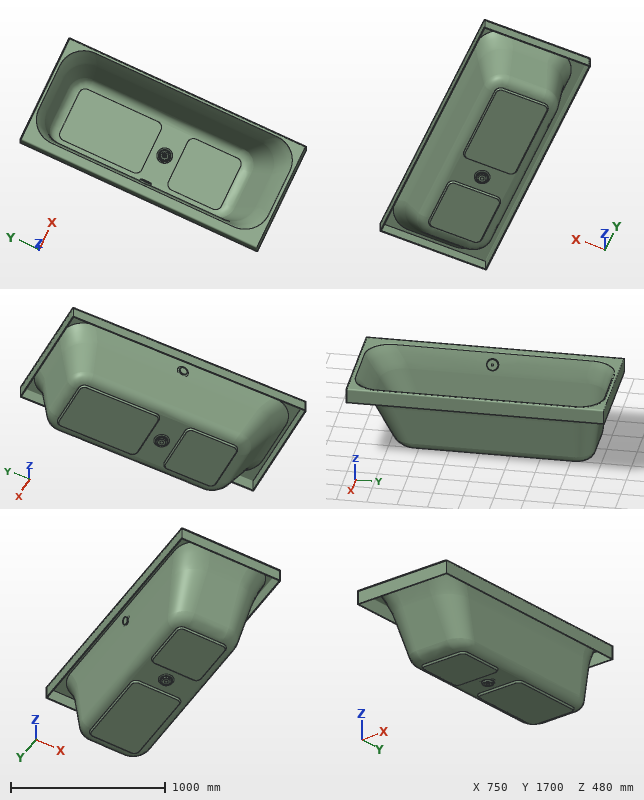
import cadquery as cq
import math

LENGTH = 1700.0
WIDTH = 750.0
HEIGHT = 480.0
SHELL = 7.0

RIM_HEIGHT = 99.0
SIDE_ROUND = 10.0
END_ROUND = 5.0
LIP_ROUND = 5.0

BASIN_X = 22.0
FLOOR_Z = -459.0
WALL_BASE_Z = -411.0
WALL_TOP_Z = -151.0
ROUND_WEIGHT = 0.75
ROUND_STEPS = 5

FLOOR = (FLOOR_Z, 190.0, 690.0, -483.0, 61.0)
WALL_BASE = (WALL_BASE_Z, 248.0, 746.0, -565.0, 119.0)
WALL_TOP = (WALL_TOP_Z, 284.0, 780.0, -710.0, 162.0)
OPENING = (0.0, 326.0, 821.0, -820.0, 163.0)

DISH_TOP_DIA = 102.0
DISH_FLOOR_DIA = 78.0
DISH_DEPTH = 7.0
BOSS_TOP_DIA = 83.0
BOSS_BOTTOM_DIA = 73.0
DRAIN_DIA = 71.0
DRAIN_NECK_DIA = 53.0
DRAIN_FLANGE = 5.0
DRAIN_CHAMFER = 2.0
PLUG_DIA = 32.0
PLUG_STEM_DIA = 24.0
PLUG_HEAD = 3.0
PLUG_KNOB = 2.0
DIMPLE_DIA = 9.2
DIMPLE_DEPTH = 2.0

OVERFLOW_X = -277.0
OVERFLOW_Z = -77.0
OVERFLOW_TILT = 16.0
OVERFLOW_DIA = 78.0
OVERFLOW_CAP = 15.0
OVERFLOW_CHAMFER = 3.0
OVERFLOW_PIPE_DIA = 53.0
OVERFLOW_PIPE = 14.0
OVERFLOW_DIMPLE_DIA = 14.5
OVERFLOW_DIMPLE = 2.0

BOARD_SPANS = [(-475.0, -95.0), (95.0, 680.0)]
BOARD_WIDTH = 374.0
BOARD_TAPER = 9.0
BOARD_CORNER = 43.0

UNDERSIDE_Z = FLOOR_Z - SHELL
DISH_FLOOR_Z = FLOOR_Z - DISH_DEPTH


def grow(section, offset):
    """Push a section outwards by an offset at the same height."""
    z, half_width, head, foot, corner = section
    return (z, half_width + offset, head + offset, foot - offset, corner + offset)


def lower(section, offset):
    """Drop a section by an offset, keeping its outline."""
    z, *outline = section
    return (z - offset, *outline)


def along_wall(base, top, z):
    """Section at height z on the straight walls, or on their extension."""
    share = (z - base[0]) / (top[0] - base[0])
    return tuple(b + share * (t - b) for b, t in zip(base, top))


def rounded_stretch(start, bend, end):
    """Sections along a conic arc from start to end that leaves and arrives towards bend."""
    sections = []
    for step in range(ROUND_STEPS + 1):
        t = step / ROUND_STEPS
        weights = ((1 - t) ** 2, 2 * ROUND_WEIGHT * t * (1 - t), t ** 2)
        total = sum(weights)
        sections.append(tuple(
            sum(w * value for w, value in zip(weights, values)) / total
            for values in zip(start, bend, end)
        ))
    return sections


def section_wire(section):
    z, half_width, head, foot, corner = section
    return (
        cq.Sketch().rect(2 * half_width, head - foot).vertices().fillet(corner)
        .reset().faces().val().outerWire()
        .moved(cq.Location(cq.Vector(BASIN_X, (head + foot) / 2, z)))
    )


def loft(sections, ruled=False):
    return cq.Workplane(cq.Solid.makeLoft([section_wire(s) for s in sections], ruled))


def basin(offset):
    """Solid in the shape of the basin, grown by an offset on the sides and the floor."""
    floor = lower(FLOOR, offset)
    base, top, opening = (grow(section, offset) for section in (WALL_BASE, WALL_TOP, OPENING))
    floor_bend = along_wall(base, top, floor[0])
    opening_bend = along_wall(base, top, WALL_TOP_Z / 2)
    bottom_round = loft(rounded_stretch(floor, floor_bend, base))
    walls = loft([base, top], ruled=True)
    flare = loft(rounded_stretch(top, opening_bend, opening))
    return bottom_round.union(walls).union(flare)


def overflow_plane():
    """Plane on the wall with its normal pointing into the basin."""
    tilt = math.radians(OVERFLOW_TILT)
    normal = (math.cos(tilt), 0, math.sin(tilt))
    return cq.Plane(origin=(OVERFLOW_X, 0, OVERFLOW_Z), xDir=(0, 1, 0), normal=normal)


def drain_cone(bottom_dia, top_dia, bottom_z, top_z):
    cone = cq.Solid.makeCone(bottom_dia / 2, top_dia / 2, top_z - bottom_z, cq.Vector(BASIN_X, 0, bottom_z))
    return cq.Workplane(cone)


def drain_disc(diameter, bottom_z, top_z):
    return (
        cq.Workplane().workplane(bottom_z).center(BASIN_X, 0)
        .circle(diameter / 2).extrude(top_z - bottom_z)
    )


def make_rim():
    """Deck with a skirt around it, open underneath."""
    block = cq.Workplane().box(WIDTH, LENGTH, RIM_HEIGHT).translate((0, 0, -RIM_HEIGHT / 2))
    block = block.edges("|Y and >Z").fillet(SIDE_ROUND)
    block = block.faces("<Y or >Y").edges("not <Z").fillet(END_ROUND)
    hollow_height = RIM_HEIGHT - SHELL
    hollow = (
        cq.Workplane().box(WIDTH - 2 * SHELL, LENGTH - 2 * SHELL, hollow_height)
        .translate((0, 0, hollow_height / 2 - RIM_HEIGHT))
        .edges("|Y and >Z").fillet(SIDE_ROUND - SHELL)
    )
    return block.cut(hollow)


def make_tub():
    boss = drain_cone(BOSS_BOTTOM_DIA, BOSS_TOP_DIA, -HEIGHT, UNDERSIDE_Z)
    dish = drain_cone(DISH_FLOOR_DIA, DISH_TOP_DIA, DISH_FLOOR_Z, FLOOR_Z)
    tub = make_rim().union(basin(SHELL)).union(boss).cut(basin(0))
    inside_deck = cq.selectors.BoxSelector(
        (SHELL - WIDTH / 2, SHELL - LENGTH / 2, -LIP_ROUND),
        (WIDTH / 2 - SHELL, LENGTH / 2 - SHELL, LIP_ROUND),
    )
    tub = tub.faces(">Z").edges(inside_deck).fillet(LIP_ROUND)
    tub = tub.cut(dish).cut(drain_disc(DRAIN_NECK_DIA, -HEIGHT, DISH_FLOOR_Z))
    return tub.cut(make_overflow())


def make_drain():
    flange_top = DISH_FLOOR_Z + DRAIN_FLANGE
    flange = drain_disc(DRAIN_DIA, DISH_FLOOR_Z, flange_top).faces(">Z").edges().chamfer(DRAIN_CHAMFER)
    neck = drain_disc(DRAIN_NECK_DIA, -HEIGHT, DISH_FLOOR_Z)
    return flange.union(neck).cut(drain_disc(PLUG_STEM_DIA, -HEIGHT, flange_top))


def make_plug():
    flange_top = DISH_FLOOR_Z + DRAIN_FLANGE
    head_top = flange_top + PLUG_HEAD
    head = drain_disc(PLUG_DIA, flange_top, head_top).faces(">Z").edges().chamfer(DRAIN_CHAMFER)
    knob_top = head_top + PLUG_KNOB
    stem = drain_disc(PLUG_STEM_DIA, -HEIGHT, knob_top)
    return head.union(stem).cut(drain_disc(DIMPLE_DIA, knob_top - DIMPLE_DEPTH, knob_top))


def make_overflow():
    plane = overflow_plane()
    cap = (
        cq.Workplane(plane).circle(OVERFLOW_DIA / 2).extrude(OVERFLOW_CAP)
        .faces(cq.selectors.DirectionMinMaxSelector(plane.zDir)).edges().chamfer(OVERFLOW_CHAMFER)
    )
    dimple = (
        cq.Workplane(plane).workplane(offset=OVERFLOW_CAP)
        .circle(OVERFLOW_DIMPLE_DIA / 2).extrude(-OVERFLOW_DIMPLE)
    )
    pipe = cq.Workplane(plane).circle(OVERFLOW_PIPE_DIA / 2).extrude(-OVERFLOW_PIPE)
    return cap.cut(dimple).union(pipe)


def make_board(lower_y, upper_y):
    thickness = HEIGHT + UNDERSIDE_Z
    taper_angle = math.degrees(math.atan2(BOARD_TAPER, thickness))
    return (
        cq.Workplane().workplane(UNDERSIDE_Z).center(BASIN_X, (lower_y + upper_y) / 2)
        .sketch().rect(BOARD_WIDTH, upper_y - lower_y).vertices().fillet(BOARD_CORNER).finalize()
        .extrude(-thickness, taper=taper_angle)
    )


tub = make_tub()
drain = make_drain()
plug = make_plug()
overflow = make_overflow()
boards = [make_board(lower_y, upper_y) for lower_y, upper_y in BOARD_SPANS]

result = cq.Compound.makeCompound([
    tub.val(),
    drain.val(),
    plug.val(),
    overflow.val(),
    *[board.val() for board in boards],
])